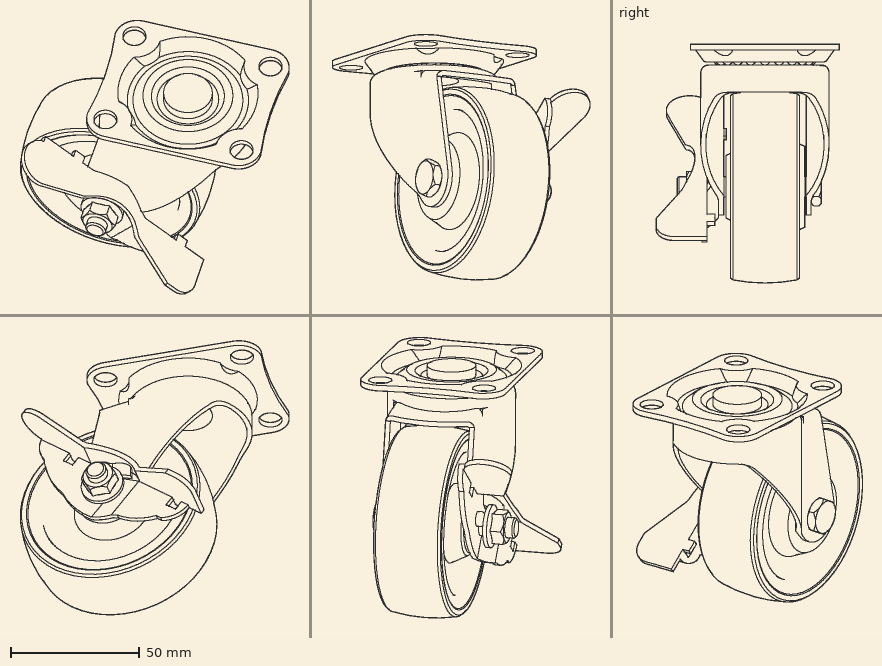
import cadquery as cq
import math


wheel_radius = 37.5
axle_x = -28.0
axle_z = -55.5
axle_radius = 4.0
axle_origin = (axle_x, 0, axle_z)

plate_length = 70.0
plate_width = 58.0
plate_thickness = 2.3
plate_corner_radius = 9.0
plate_waist = 1.6
hole_diameter = 9.0
hole_spacing_x = 55.0
hole_spacing_y = 42.0

dish_depth = 7.0
dish_rim_radius = 27.3
dish_cone_end_radius = 23.6
dome_foot_radius = 21.4
dome_wall_end_radius = 18.8
dome_crown_outer_radius = 17.5
dome_crown_inner_radius = 15.9
dome_lip_radius = 14.2
dome_hole_radius = 12.0
dome_top_z = -1.7
dome_shoulder_drop = 0.8
dome_lip_drop = 0.4
dome_wall = 1.5
dish_rim_bevel = 1.2
dish_underside_radius = 27.0
dish_edge_rounding = 2.0
bump_radius = 10.3
bump_foot_radius = 11.8
dent_radius = 9.2

pivot_radius = 9.5
ball_radius = 2.05
ball_circle_radius = 17.9
ball_count = 20
race_radius = 16.5

fork_top_z = -8.1
fork_sheet = 2.0
fork_radius = 25.0
fork_top_rounding = 3.0
leg_outer_y = 18.0
leg_bend_radius = 3.0
leg_root_radius = 4.5
leg_end_radius = 11.0
leg_back_lean = 12.0
leg_front_lean = 40.0
skirt_bottom_z = -18.7
skirt_notch_radius = 7.0
tongue_slope = 10.0
tongue_tip_x = -33.8
tongue_tip_z = -13.3

wheel_half_width = 13.5
tread_half_width = 12.5
tread_edge_radius = 36.3
tyre_side_radius = 35.5
rim_outer_radius = 33.5
rim_inner_radius = 33.0
rim_half_width = 13.2
web_rim_radius = 29.9
web_radius = 25.8
web_half_width = 8.5
hub_brake_side = (15.6, 12.2, 15.2)
hub_plain_side = (19.0, 15.8, 15.5)

head_flats = 13.0
head_outer_y = 22.0
nut_flats = 12.0
nut_flange_radius = 8.4
nut_flange_y = -22.9
nut_flange_thickness = 1.6
nut_neck_radius = 6.2
nut_body_y = -25.7
nut_end_y = -30.6
bolt_end_y = -34.2
bolt_end_chamfer = 0.7
hex_chamfer = 1.0

lever_tilt = 38.0
lever_sheet = 2.0
lever_step = 4.5
fold_start_u = 3.0
fold_end_u = 12.8
right_ear_u = 38.0
right_ear_side = (36.6, 2.5)
right_ear_foot = (31.8, -2.2)
right_ear_notch = (29.5, -2.2)
right_flank = (23.5, -6.7)
right_hub_side = (15.0, -9.2)
hub_bottom = (0, -12.9)
left_hub_side = (-15.0, -8.8)
left_flank = (-25.0, -4.9)
left_ear_foot = (-32.0, 0.9)
left_ear_side = (-36.8, 4.0)
left_ear_u = -38.7
pedal_top_v = 9.8
arch_top_v = 14.3
arch_radius = 23.7
arch_bend_radius = 3.0
arch_fold_end_u = 10.0
arch_web_slope_x = 3.0
arch_web_slope = 0.65
left_pedal_root = (-38.7, -20.4)
left_pedal_end = (-45.0, -28.0)
left_pedal_shoulder = (-33.5, -38.1)
left_neck_end = (-14.0, -31.0)
neck_middle = (-3.5, -27.4)
right_neck_end = (8.5, -29.0)
right_pedal_shoulder_u = 32.5
right_pedal_end_u = 44.0
right_pedal_edge_y = -42.39
pedal_corner_radius = 7.0
tab_width = 4.7
tab_height = 3.0
left_tab_u = -22.0
right_tab_u = 32.2
window_bottom_v = 3.8
stud_u = -6.7
stud_radius = 2.9
stud_height = 2.3
stud_rounding = 0.8


def cylinder(radius, z_low, z_high):
    return cq.Workplane("XY", origin=(0, 0, z_low)).circle(radius).extrude(z_high - z_low)


def axle_plane(y):
    """Sketch plane across the axle at the given Y; extrusions run towards -Y."""
    return cq.Workplane("XZ", origin=(axle_x, y, axle_z))


def revolve_about_z(profile):
    """Revolve a closed (radius, height) profile about the swivel axis."""
    return profile.close().revolve(360, (0, 0, 0), (0, 1, 0))


def make_plate():
    half_x = plate_length / 2
    half_y = plate_width / 2
    arc_x = half_x - plate_corner_radius
    arc_y = half_y - plate_corner_radius
    waist_x = half_x - plate_waist
    diagonal = plate_corner_radius * math.sqrt(0.5)
    floor_z = plate_thickness - dish_depth
    dome_under_z = dome_top_z - plate_thickness

    sheet = (
        cq.Workplane("XY", origin=(0, 0, -plate_thickness))
        .moveTo(-arc_x, half_y)
        .lineTo(arc_x, half_y)
        .threePointArc((arc_x + diagonal, arc_y + diagonal), (half_x, arc_y))
        .threePointArc((waist_x, 0), (half_x, -arc_y))
        .threePointArc((arc_x + diagonal, -arc_y - diagonal), (arc_x, -half_y))
        .lineTo(-arc_x, -half_y)
        .threePointArc((-arc_x - diagonal, -arc_y - diagonal), (-half_x, -arc_y))
        .threePointArc((-waist_x, 0), (-half_x, arc_y))
        .threePointArc((-arc_x - diagonal, arc_y + diagonal), (-arc_x, half_y))
        .close()
        .extrude(plate_thickness)
    )
    bowl = (
        cq.Workplane("XY", origin=(0, 0, -dish_depth))
        .circle(dish_cone_end_radius)
        .workplane(offset=dish_depth - plate_thickness)
        .circle(dish_underside_radius)
        .loft()
        .faces("<Z").edges().fillet(dish_edge_rounding)
    )
    bowl_void = revolve_about_z(
        cq.Workplane("XZ")
        .moveTo(dome_hole_radius, 0)
        .lineTo(dish_rim_radius, 0)
        .lineTo(dish_rim_radius - dish_rim_bevel, -dish_rim_bevel)
        .lineTo(dish_cone_end_radius, floor_z)
        .lineTo(dome_foot_radius, floor_z)
        .lineTo(dome_wall_end_radius, dome_top_z - dome_shoulder_drop)
        .lineTo(dome_crown_outer_radius, dome_top_z)
        .lineTo(dome_crown_inner_radius, dome_top_z)
        .lineTo(dome_lip_radius, dome_top_z - dome_lip_drop)
        .lineTo(dome_hole_radius, dome_under_z)
    )
    dome_void = (
        cq.Workplane("XY", origin=(0, 0, -dish_depth))
        .circle(dome_foot_radius - dome_wall)
        .workplane(offset=dish_depth + dome_under_z)
        .circle(dome_wall_end_radius - dome_wall)
        .loft()
    )
    ball_groove = (
        cq.Workplane("XZ").center(ball_circle_radius, fork_top_z + ball_radius)
        .circle(ball_radius).revolve(360, (-ball_circle_radius, 0, 0), (-ball_circle_radius, 1, 0))
    )
    for x_side in (-1, 1):
        for y_side in (-1, 1):
            place = (x_side * hole_spacing_x / 2, y_side * hole_spacing_y / 2, 0)
            dent = cylinder(dent_radius, -dish_depth, -plate_thickness).translate(place)
            bump = (
                cq.Workplane("XY", origin=(0, 0, floor_z)).circle(bump_foot_radius)
                .workplane(offset=-floor_z).circle(bump_radius).loft().translate(place)
            )
            bowl = bowl.cut(dent)
            bowl_void = bowl_void.cut(bump)
    holes = (
        cq.Workplane("XY").rect(hole_spacing_x, hole_spacing_y, forConstruction=True).vertices()
        .circle(hole_diameter / 2).extrude(-plate_thickness)
    )
    centre_hole = cylinder(dome_hole_radius, -dish_depth, 0)
    plate = sheet.union(bowl)
    for cutter in (bowl_void, centre_hole, dome_void, ball_groove, holes):
        plate = plate.cut(cutter)
    return plate


def make_pivot():
    pin = cylinder(pivot_radius, fork_top_z - fork_sheet, 0)
    race_disc = cylinder(race_radius, fork_top_z, dome_top_z - plate_thickness)
    pivot = pin.union(race_disc)
    for index in range(ball_count):
        ball = cq.Workplane("XY").sphere(ball_radius).translate(
            (ball_circle_radius, 0, fork_top_z + ball_radius)
        )
        pivot = pivot.union(ball.rotate((0, 0, 0), (0, 0, 1), index * 360 / ball_count))
    return pivot


def tongue_line_z(x, drop):
    """Height of the sloping tongue's top face at x, lowered by drop."""
    return tongue_tip_z + (x - tongue_tip_x) * math.tan(math.radians(tongue_slope)) - drop


def fork_channel(half_width, drop, bottom_z):
    """Bar under the sloping tongue, from behind the legs to the swivel axis."""
    back_x = axle_x - 2 * leg_end_radius
    front_x = -fork_radius / 2
    return (
        cq.Workplane("XZ", origin=(0, half_width, 0))
        .moveTo(back_x, bottom_z)
        .lineTo(back_x, tongue_line_z(back_x, drop))
        .lineTo(front_x, tongue_line_z(front_x, drop))
        .lineTo(front_x, bottom_z)
        .close()
        .extrude(2 * half_width)
    )


def leg_root_web(y_side, bottom_z):
    """Filling of the hollow corner, with an arc tangent to both the leg and the round skirt."""
    hollow_y = leg_outer_y + leg_root_radius
    hollow_x = -math.sqrt((fork_radius + leg_root_radius) ** 2 - hollow_y ** 2)
    skirt_share = fork_radius / (fork_radius + leg_root_radius)
    skirt_angle = math.atan2(-hollow_y, -hollow_x)
    middle_angle = (skirt_angle - math.pi / 2) / 2
    middle_x = hollow_x + leg_root_radius * math.cos(middle_angle)
    middle_y = hollow_y + leg_root_radius * math.sin(middle_angle)
    buried_y = leg_outer_y - fork_sheet / 2
    top_z = fork_top_z - fork_top_rounding
    return (
        cq.Workplane("XY", origin=(0, 0, bottom_z))
        .moveTo(hollow_x, y_side * leg_outer_y)
        .threePointArc(
            (middle_x, y_side * middle_y),
            (hollow_x * skirt_share, y_side * hollow_y * skirt_share),
        )
        .lineTo(hollow_x * skirt_share, y_side * buried_y)
        .lineTo(hollow_x, y_side * buried_y)
        .close()
        .extrude(top_z - bottom_z)
    )


def make_fork():
    bottom_z = axle_z - leg_end_radius
    leg_inner_y = leg_outer_y - fork_sheet
    back = math.radians(leg_back_lean)
    front = math.radians(leg_front_lean)

    drum = cylinder(fork_radius, bottom_z, fork_top_z).faces(">Z").edges().fillet(fork_top_rounding)
    drum_void = (
        cylinder(fork_radius - fork_sheet, bottom_z, fork_top_z - fork_sheet)
        .faces(">Z").edges().fillet(fork_top_rounding - fork_sheet)
    )
    outer_channel = (
        fork_channel(leg_outer_y, 0, bottom_z)
        .faces(">Z").edges("not |Y").fillet(leg_bend_radius)
    )
    inner_channel = (
        fork_channel(leg_inner_y, fork_sheet, bottom_z)
        .faces(">Z").edges("not |Y").fillet(leg_bend_radius - fork_sheet)
    )
    body = drum.union(outer_channel)
    for y_side in (-1, 1):
        body = body.union(leg_root_web(y_side, bottom_z))
    shell = body.cut(drum_void).cut(inner_channel)

    back_x = axle_x - leg_end_radius * math.cos(back)
    back_z = axle_z + leg_end_radius * math.sin(back)
    front_x = axle_x + leg_end_radius * math.cos(front)
    front_z = axle_z - leg_end_radius * math.sin(front)
    tongue_under_z = tongue_tip_z - fork_sheet
    leg_top_x = back_x + (tongue_under_z - back_z) * math.tan(back)
    notch_x = front_x + (skirt_bottom_z - front_z) * math.tan(front)
    span = 2 * fork_radius
    outline = (
        cq.Workplane("XZ", origin=(0, fork_radius, 0))
        .moveTo(leg_top_x, tongue_under_z)
        .lineTo(back_x, back_z)
        .threePointArc((axle_x, bottom_z), (front_x, front_z))
        .lineTo(notch_x, skirt_bottom_z)
        .lineTo(fork_radius, skirt_bottom_z)
        .lineTo(fork_radius, fork_top_z)
        .lineTo(tongue_tip_x, fork_top_z)
        .lineTo(tongue_tip_x, tongue_under_z)
        .close()
        .extrude(span)
        .edges(cq.selectors.NearestToPointSelector((notch_x, 0, skirt_bottom_z)))
        .fillet(skirt_notch_radius)
    )
    below_tongue = (
        cq.Workplane("XY", origin=(0, 0, bottom_z))
        .rect(2 * span, span).extrude(tongue_under_z - bottom_z)
    )
    tongue_plan = (
        cq.Workplane("XY", origin=(0, 0, bottom_z))
        .moveTo(fork_radius, -fork_radius)
        .lineTo(leg_top_x, -fork_radius)
        .lineTo(leg_top_x, -leg_outer_y)
        .threePointArc((tongue_tip_x, 0), (leg_top_x, leg_outer_y))
        .lineTo(leg_top_x, fork_radius)
        .lineTo(fork_radius, fork_radius)
        .close()
        .extrude(fork_top_z - bottom_z)
    )
    fork = shell.intersect(outline).intersect(tongue_plan.union(below_tongue))
    fork = fork.cut(cylinder(pivot_radius, fork_top_z - fork_sheet, fork_top_z))
    return fork.cut(axle_plane(leg_outer_y).circle(axle_radius).extrude(2 * leg_outer_y))


def make_wheel():
    foot_radius, end_radius, end_distance = hub_brake_side
    plain_foot_radius, plain_end_radius, plain_end_distance = hub_plain_side
    wave_radius = (web_rim_radius + web_radius) / 2
    wave_half_width = (rim_half_width + web_half_width) / 2
    wheel = (
        cq.Workplane("XY")
        .moveTo(axle_radius, -end_distance)
        .lineTo(end_radius, -end_distance)
        .lineTo(foot_radius, -web_half_width)
        .lineTo(web_radius, -web_half_width)
        .tangentArcPoint((wave_radius, -wave_half_width), relative=False)
        .tangentArcPoint((web_rim_radius, -rim_half_width), relative=False)
        .lineTo(rim_inner_radius, -rim_half_width)
        .lineTo(rim_outer_radius, -wheel_half_width)
        .lineTo(tyre_side_radius, -wheel_half_width)
        .lineTo(tread_edge_radius, -tread_half_width)
        .threePointArc((wheel_radius, 0), (tread_edge_radius, tread_half_width))
        .lineTo(tyre_side_radius, wheel_half_width)
        .lineTo(rim_outer_radius, wheel_half_width)
        .lineTo(rim_inner_radius, rim_half_width)
        .lineTo(web_rim_radius, rim_half_width)
        .tangentArcPoint((wave_radius, wave_half_width), relative=False)
        .tangentArcPoint((web_radius, web_half_width), relative=False)
        .lineTo(plain_foot_radius, web_half_width)
        .lineTo(plain_end_radius, plain_end_distance)
        .lineTo(axle_radius, plain_end_distance)
        .close()
        .revolve(360, (0, 0, 0), (0, 1, 0))
    )
    return wheel.translate(axle_origin)


def hexagon(flats, y_start, length, turn):
    """Hexagonal prism on the axle running towards -Y, with its corners bevelled."""
    corner_radius = flats / math.sqrt(3)
    prism = axle_plane(y_start).polygon(6, 2 * corner_radius).extrude(length)
    bevel = axle_plane(y_start).circle(corner_radius).extrude(length).faces("<Y or >Y").chamfer(hex_chamfer)
    return prism.rotate(axle_origin, (axle_x, 1, axle_z), turn).intersect(bevel)


def make_axle():
    shank = (
        axle_plane(head_outer_y).circle(axle_radius).extrude(head_outer_y - bolt_end_y)
        .faces("<Y").chamfer(bolt_end_chamfer)
    )
    head = hexagon(head_flats, head_outer_y, head_outer_y - leg_outer_y, 30)
    flange = axle_plane(nut_flange_y).circle(nut_flange_radius).extrude(nut_flange_thickness)
    neck_y = nut_flange_y - nut_flange_thickness
    neck = (
        axle_plane(neck_y).circle(nut_flange_radius)
        .workplane(offset=neck_y - nut_body_y).circle(nut_neck_radius).loft()
    )
    nut = hexagon(nut_flats, neck_y, neck_y - nut_end_y, 0)
    return shank.union(head).union(flange).union(neck).union(nut)


def lever_box(u_middle, width, v_low, v_high, y_low, y_high):
    return (
        cq.Workplane("XY").box(width, y_high - y_low, v_high - v_low, centered=(True, False, False))
        .translate((u_middle, y_low, v_low))
    )


def make_lever():
    back_y = -leg_outer_y
    step_y = back_y - lever_step
    pedal_low_v = pedal_top_v - lever_sheet
    arch_centre_v = arch_top_v - arch_radius
    far_u = 50.0
    far_y = 60.0
    v_depth = 40.0

    joggle = (
        cq.Workplane("XY", origin=(0, 0, -v_depth / 2))
        .moveTo(-far_u, back_y)
        .lineTo(fold_start_u, back_y)
        .lineTo(fold_end_u, step_y)
        .lineTo(far_u, step_y)
        .lineTo(far_u, step_y - lever_sheet)
        .lineTo(fold_end_u, step_y - lever_sheet)
        .lineTo(fold_start_u, back_y - lever_sheet)
        .lineTo(-far_u, back_y - lever_sheet)
        .close()
        .extrude(v_depth)
    )
    outline = (
        cq.Workplane("XZ")
        .moveTo(right_ear_u, pedal_low_v)
        .threePointArc(right_ear_side, right_ear_foot)
        .lineTo(*right_ear_notch)
        .threePointArc(right_flank, right_hub_side)
        .threePointArc(hub_bottom, left_hub_side)
        .threePointArc(left_flank, left_ear_foot)
        .threePointArc(left_ear_side, (left_ear_u, pedal_low_v))
        .close()
        .extrude(far_y)
    )

    bar = lever_box(0, 2 * far_u, pedal_low_v, pedal_top_v, -far_y, 0)
    arch_outer = cq.Workplane("XZ").center(0, arch_centre_v).circle(arch_radius).extrude(far_y)
    arch_inner = (
        cq.Workplane("XZ").center(0, arch_centre_v).circle(arch_radius - lever_sheet).extrude(far_y)
    )
    above_bar = lever_box(0, 2 * far_u, pedal_low_v, arch_top_v, -far_y, 0)
    strip = bar.union(arch_outer.intersect(above_bar)).cut(arch_inner)
    bend_u = math.sqrt(arch_radius ** 2 - (pedal_top_v - arch_centre_v) ** 2)
    for u in (-bend_u, bend_u):
        corner = cq.selectors.NearestToPointSelector((u, -far_y / 2, pedal_top_v))
        strip = strip.edges(corner).fillet(arch_bend_radius)

    plan = (
        cq.Workplane("XY")
        .moveTo(left_pedal_root[0], back_y)
        .lineTo(0, back_y)
        .lineTo(arch_fold_end_u, step_y)
        .lineTo(right_pedal_end_u, step_y)
        .lineTo(right_pedal_end_u, right_pedal_edge_y)
        .lineTo(right_pedal_shoulder_u, right_pedal_edge_y)
        .lineTo(*right_neck_end)
        .threePointArc(neck_middle, left_neck_end)
        .lineTo(*left_pedal_shoulder)
        .threePointArc(left_pedal_end, left_pedal_root)
        .close()
        .extrude(v_depth)
    )
    outer_corner = cq.selectors.NearestToPointSelector(
        (right_pedal_end_u, right_pedal_edge_y, v_depth / 2)
    )
    plan = plan.edges(outer_corner).fillet(pedal_corner_radius)
    pedals = strip.intersect(plan)

    slope_start = arch_web_slope_x
    slope_end = arch_radius / 2
    slope_y = back_y - arch_web_slope * (slope_end - slope_start)
    web = (
        cq.Workplane("XY", origin=(0, 0, -v_depth / 2))
        .moveTo(-slope_end, back_y)
        .lineTo(slope_start, back_y)
        .lineTo(slope_end, slope_y)
        .lineTo(slope_end, slope_y - lever_sheet)
        .lineTo(slope_start, back_y - lever_sheet)
        .lineTo(-slope_end, back_y - lever_sheet)
        .close()
        .extrude(v_depth)
        .rotate((0, 0, 0), (0, 1, 0), -lever_tilt)
        .intersect(arch_outer)
        .intersect(above_bar)
    )

    sheet = joggle.intersect(outline)
    lever = sheet.union(pedals).union(web)
    for tab_u, sheet_y in ((left_tab_u, back_y), (right_tab_u, step_y)):
        outer_y = sheet_y - lever_sheet
        tab = lever_box(tab_u, tab_width, pedal_low_v, pedal_top_v, outer_y, sheet_y + tab_height)
        window = lever_box(tab_u, tab_width, window_bottom_v, pedal_low_v, outer_y, sheet_y)
        lever = lever.union(tab).cut(window)
    stud = (
        cq.Workplane("XZ", origin=(0, back_y - lever_sheet, 0)).center(stud_u, 0)
        .circle(stud_radius).extrude(stud_height).faces("<Y").edges().fillet(stud_rounding)
    )
    lever = lever.union(stud).cut(cq.Workplane("XZ").circle(axle_radius).extrude(far_y))
    return lever.rotate((0, 0, 0), (0, 1, 0), lever_tilt).translate(axle_origin)


plate = make_plate()
pivot = make_pivot()
fork = make_fork()
wheel = make_wheel()
axle = make_axle()
lever = make_lever()

result = cq.Compound.makeCompound(
    [plate.val(), pivot.val(), fork.val(), wheel.val(), axle.val(), lever.val()]
)